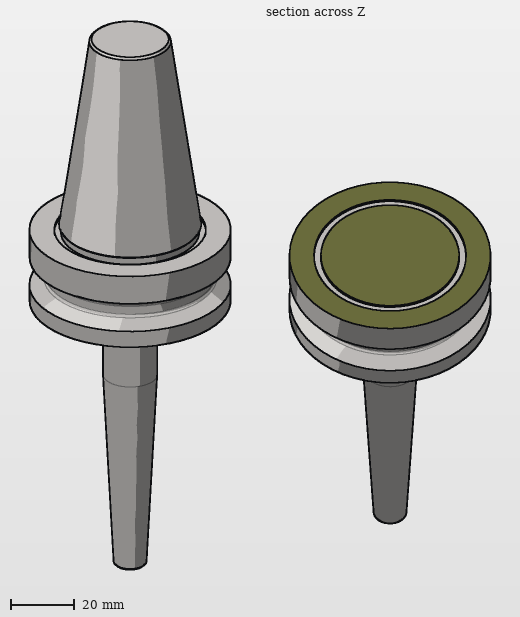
import cadquery as cq
import math

TOTAL_LENGTH = 185.4
NOSE_TAPER_TOP = 67.0
NECK_TOP = 83.0
FLANGE_BOTTOM = 93.0
GROOVE_LOWER_EDGE = 98.6
GROOVE_UPPER_EDGE = 108.5
FLANGE_TOP = 118.1
GAUGE_LINE = 120.0

FLANGE_RADIUS = 31.5
GROOVE_RADIUS = 26.5
GROOVE_CORNER_RADIUS = 1.1
SHANK_BASE_RADIUS = 22.2
SHANK_TIP_RADIUS = 12.8
NECK_RADIUS = 8.5
NOSE_TIP_RADIUS = 5.2

GROOVE_WALL_ANGLE = math.radians(30)

TIP_CHAMFER = 0.7
RELIEF_DEPTH = 0.5
RECESS_RADIUS = 23.7
RECESS_DEPTH = 1.0
FILLET_RADIUS = FLANGE_BOTTOM - NECK_TOP


def lower_profile(sketch):
    """Tapered nose, straight neck and the concave fillet into the flange."""
    fillet_center_radius = NECK_RADIUS + FILLET_RADIUS
    diagonal = FILLET_RADIUS * 0.5**0.5
    fillet_middle = (fillet_center_radius - diagonal, NECK_TOP + diagonal)
    return (
        sketch.lineTo(NOSE_TIP_RADIUS - TIP_CHAMFER, 0)
        .lineTo(NOSE_TIP_RADIUS, TIP_CHAMFER)
        .lineTo(NECK_RADIUS, NOSE_TAPER_TOP)
        .lineTo(NECK_RADIUS, NECK_TOP)
        .threePointArc(fillet_middle, (fillet_center_radius, FLANGE_BOTTOM))
    )


def flange_profile(sketch):
    """Flange rim with its V-shaped gripper groove, its corners still sharp."""
    wall_height = (FLANGE_RADIUS - GROOVE_RADIUS) * math.tan(GROOVE_WALL_ANGLE)
    return (
        sketch.lineTo(FLANGE_RADIUS, FLANGE_BOTTOM)
        .lineTo(FLANGE_RADIUS, GROOVE_LOWER_EDGE)
        .lineTo(GROOVE_RADIUS, GROOVE_LOWER_EDGE + wall_height)
        .lineTo(GROOVE_RADIUS, GROOVE_UPPER_EDGE - wall_height)
        .lineTo(FLANGE_RADIUS, GROOVE_UPPER_EDGE)
        .lineTo(FLANGE_RADIUS, FLANGE_TOP)
    )


def shank_profile(sketch):
    """Annular recess in the flange face, relief and tapered shank."""
    relief_radius = SHANK_BASE_RADIUS - RELIEF_DEPTH
    return (
        sketch.lineTo(RECESS_RADIUS, FLANGE_TOP)
        .lineTo(RECESS_RADIUS, FLANGE_TOP - RECESS_DEPTH)
        .lineTo(relief_radius, FLANGE_TOP - RECESS_DEPTH)
        .lineTo(relief_radius, GAUGE_LINE - RELIEF_DEPTH)
        .lineTo(SHANK_BASE_RADIUS, GAUGE_LINE)
        .lineTo(SHANK_TIP_RADIUS, TOTAL_LENGTH - TIP_CHAMFER)
        .lineTo(SHANK_TIP_RADIUS - TIP_CHAMFER, TOTAL_LENGTH)
        .lineTo(0, TOTAL_LENGTH)
    )


def round_groove_corners(body):
    """Round the two circular edges where the groove walls meet its floor."""
    margin = 0.2
    half_width = GROOVE_RADIUS + margin
    groove_box = cq.selectors.BoxSelector(
        (-half_width, -half_width, GROOVE_LOWER_EDGE + margin),
        (half_width, half_width, GROOVE_UPPER_EDGE - margin),
        boundingbox=True,
    )
    return body.edges("%CIRCLE").edges(groove_box).fillet(GROOVE_CORNER_RADIUS)


profile = cq.Workplane("XZ").moveTo(0, 0)
profile = lower_profile(profile)
profile = flange_profile(profile)
profile = shank_profile(profile)
holder = profile.close().revolve(360, (0, 0, 0), (0, 1, 0))
result = round_groove_corners(holder)